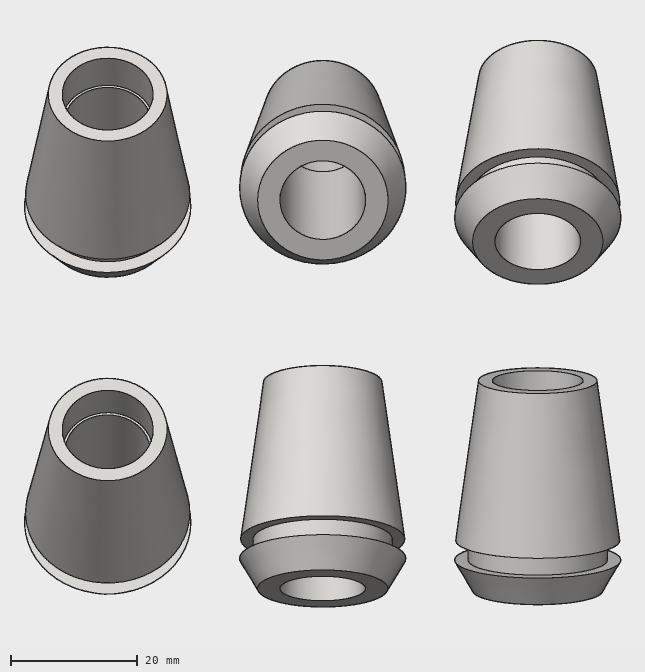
import cadquery as cq

length = 34.0

top_diameter = 18.77
taper_base_diameter = 25.98
neck_diameter = 22.03
collar_diameter = 26.3
bottom_diameter = 20.6

collar_height = 4.95
neck_height = 3.15
taper_base_z = collar_height + neck_height

bore_diameter = 13.53
counterbore_diameter = 14.35
counterbore_depth = 7.0

body = (
    cq.Workplane("XZ")
    .lineTo(bottom_diameter / 2, 0)
    .lineTo(collar_diameter / 2, collar_height)
    .lineTo(neck_diameter / 2, collar_height)
    .lineTo(neck_diameter / 2, taper_base_z)
    .lineTo(taper_base_diameter / 2, taper_base_z)
    .lineTo(top_diameter / 2, length)
    .lineTo(0, length)
    .close()
    .revolve(360, (0, 0, 0), (0, 1, 0))
)

result = body.faces(">Z").workplane().cboreHole(
    bore_diameter, counterbore_diameter, counterbore_depth
)